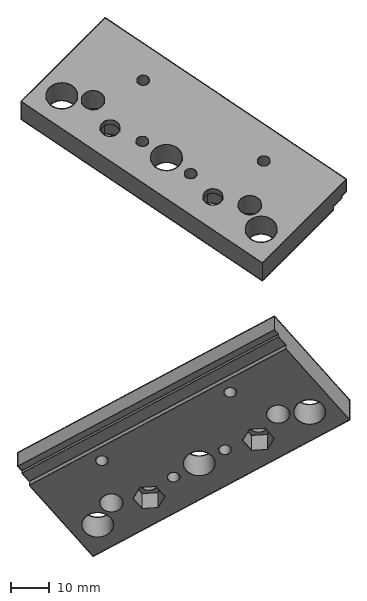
import cadquery as cq
import math

length = 80.0
width = 34.0
thickness = 8.0

deep_step_depth = 5.2
deep_step_height = 1.5
shallow_step_depth = 1.8
shallow_step_height = 2.5

front_edge = -width / 2
centre_hole_diameter = 8.2
centre_row = 10.0
small_hole_diameter = 3.2
inner_small_offset = 8.0
back_small_offset = 20.0
back_row = 25.0
front_row = 8.0
outer_hole_diameter = 8.2
outer_hole_offset = 33.0
medium_hole_diameter = 6.0
medium_hole_offset = 26.0
medium_row = 12.0
screw_hole_diameter = 5.1
screw_hole_offset = 17.0

nut_sides = 6
nut_across_flats = 7.0
nut_pocket_depth = 6.0


def make_plate():
    """Extrude the stepped side profile along the length."""
    back_edge = width / 2
    profile = [
        (front_edge, 0),
        (back_edge - deep_step_depth, 0),
        (back_edge - deep_step_depth, deep_step_height),
        (back_edge - shallow_step_depth, deep_step_height),
        (back_edge - shallow_step_depth, shallow_step_height),
        (back_edge, shallow_step_height),
        (back_edge, thickness),
        (front_edge, thickness),
    ]
    return cq.Workplane("YZ").polyline(profile).close().extrude(length / 2, both=True)


def drill(body, diameter, row, offsets):
    """Cut through holes at the given X offsets, row measured from the front edge."""
    points = [(x, front_edge + row) for x in offsets]
    holes = cq.Workplane("XY").pushPoints(points).circle(diameter / 2).extrude(thickness)
    return body.cut(holes)


def drill_pair(body, diameter, row, offset):
    """Cut two holes mirrored about the centre plane."""
    return drill(body, diameter, row, [-offset, offset])


def cut_nut_pockets(body):
    """Cut the hexagonal pockets below the two screw holes."""
    half_corner_angle = 180 / nut_sides
    across_corners = nut_across_flats / math.cos(math.radians(half_corner_angle))
    for x in (-screw_hole_offset, screw_hole_offset):
        pocket = (
            cq.Workplane("XY")
            .polygon(nut_sides, across_corners)
            .extrude(nut_pocket_depth)
            .rotate((0, 0, 0), (0, 0, 1), half_corner_angle)
            .translate((x, front_edge + front_row, 0))
        )
        body = body.cut(pocket)
    return body


result = make_plate()
result = drill(result, centre_hole_diameter, centre_row, [0])
result = drill_pair(result, small_hole_diameter, centre_row, inner_small_offset)
result = drill_pair(result, small_hole_diameter, back_row, back_small_offset)
result = drill_pair(result, outer_hole_diameter, front_row, outer_hole_offset)
result = drill_pair(result, medium_hole_diameter, medium_row, medium_hole_offset)
result = drill_pair(result, screw_hole_diameter, front_row, screw_hole_offset)
result = cut_nut_pockets(result)